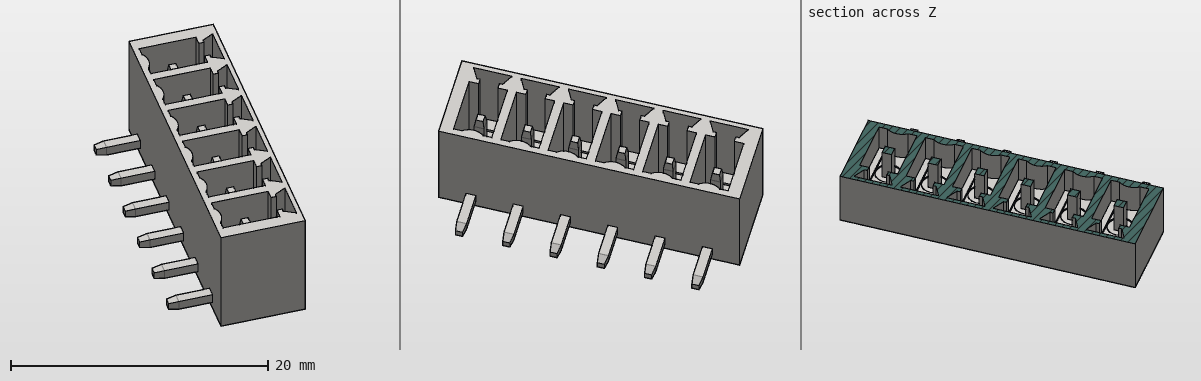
import cadquery as cq

ROW_LENGTH = 24.25
HOUSING_DEPTH = 6.87
HOUSING_HEIGHT = 9.15
OVERALL_DEPTH = 10.4

POSITIONS = 6
PITCH = 3.8

SOCKET_WIDTH = 3.08
FRONT_WALL = 0.5
SOCKET_LENGTH = 4.6
FLOOR_HEIGHT = 2.18

CHANNEL_WIDTH = 2.05
LEDGE_HEIGHT = 0.25

BACK_WALL = 0.4
NECK_WIDTH = 1.55
DOVETAIL_FRONT_WIDTH = 2.09
DOVETAIL_LENGTH = 0.92

KEY_WIDTH = 1.7
KEY_RISE = 0.3

SEAT_DIAMETER = CHANNEL_WIDTH
SEAT_DEPTH = 0.12

PIN_SIZE = 0.8
PIN_TIP_SIZE = 0.58
PIN_TAPER = 0.8
PIN_AXIS_Y = 2.81
PIN_AXIS_Z = 1.02
PIN_TOP = 8.0

socket_back = FRONT_WALL + SOCKET_LENGTH
slot_back = HOUSING_DEPTH - BACK_WALL
dovetail_front = slot_back - DOVETAIL_LENGTH
ledge_top = FLOOR_HEIGHT + LEDGE_HEIGHT
tail_length = OVERALL_DEPTH - HOUSING_DEPTH + PIN_AXIS_Y


def block(width, y_start, y_end, z_start, z_end):
    """Box centred on X between the given Y and Z limits."""
    size = (width, y_end - y_start, z_end - z_start)
    return cq.Workplane("XY").box(*size, centered=(True, False, False)).translate((0, y_start, z_start))


def socket_void():
    """Everything removed from the housing for one contact."""
    opening = block(SOCKET_WIDTH, FRONT_WALL, socket_back, ledge_top, HOUSING_HEIGHT)
    channel = block(CHANNEL_WIDTH, FRONT_WALL, socket_back, FLOOR_HEIGHT, ledge_top)
    neck = block(NECK_WIDTH, socket_back, dovetail_front, FLOOR_HEIGHT, HOUSING_HEIGHT)
    dovetail = (
        cq.Workplane("XY", origin=(0, 0, ledge_top))
        .moveTo(-DOVETAIL_FRONT_WIDTH / 2, dovetail_front)
        .lineTo(DOVETAIL_FRONT_WIDTH / 2, dovetail_front)
        .lineTo(SOCKET_WIDTH / 2, slot_back)
        .lineTo(-SOCKET_WIDTH / 2, slot_back)
        .close()
        .extrude(HOUSING_HEIGHT - ledge_top)
    )
    key = (
        cq.Workplane("XY", origin=(0, 0, FLOOR_HEIGHT))
        .moveTo(-KEY_WIDTH / 2, FRONT_WALL)
        .threePointArc((0, FRONT_WALL + KEY_RISE), (KEY_WIDTH / 2, FRONT_WALL))
        .close()
        .extrude(HOUSING_HEIGHT - FLOOR_HEIGHT)
    )
    seat = (
        cq.Workplane("XY", origin=(0, PIN_AXIS_Y, FLOOR_HEIGHT - SEAT_DEPTH))
        .circle(SEAT_DIAMETER / 2)
        .extrude(SEAT_DEPTH)
    )
    return opening.union(channel).union(neck).union(dovetail).cut(key).union(seat)


def tapered_bar(length):
    """Square bar along +Z that ends in a tapered tip."""
    shank = cq.Workplane("XY").rect(PIN_SIZE, PIN_SIZE).extrude(length - PIN_TAPER)
    tip = (
        cq.Workplane("XY", origin=(0, 0, length - PIN_TAPER))
        .rect(PIN_SIZE, PIN_SIZE)
        .workplane(offset=PIN_TAPER)
        .rect(PIN_TIP_SIZE, PIN_TIP_SIZE)
        .loft()
    )
    return shank.union(tip)


def bent_pin():
    """Upright contact and horizontal solder tail, meeting in a square corner."""
    bend_bottom = PIN_AXIS_Z - PIN_SIZE / 2
    upright = tapered_bar(PIN_TOP - bend_bottom).translate((0, PIN_AXIS_Y, bend_bottom))
    tail = tapered_bar(tail_length).rotate((0, 0, 0), (1, 0, 0), 90)
    return upright.union(tail.translate((0, PIN_AXIS_Y, PIN_AXIS_Z)))


result = block(ROW_LENGTH, 0, HOUSING_DEPTH, 0, HOUSING_HEIGHT)
for position in range(POSITIONS):
    x = (position - (POSITIONS - 1) / 2) * PITCH
    result = result.cut(socket_void().translate((x, 0, 0)))
    result = result.union(bent_pin().translate((x, 0, 0)))